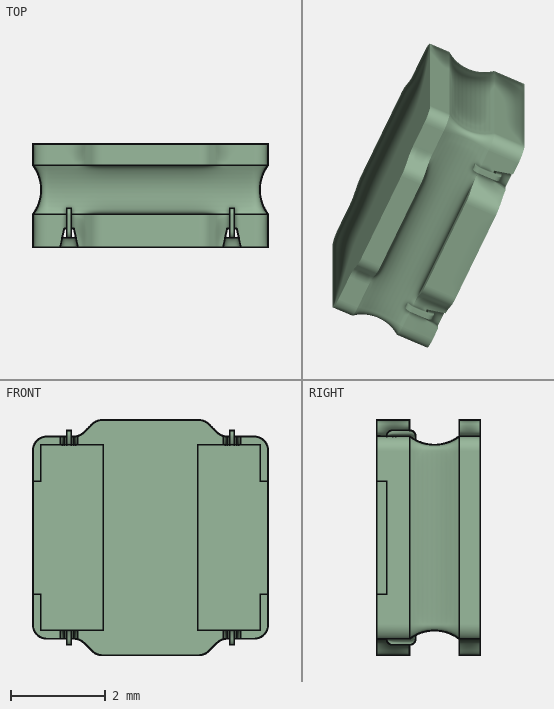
import cadquery as cq

width = 5.0
height = 5.0
depth = 2.2

shoulder_height = 4.3
corner_radius = 0.3
tab_top_width = 2.3
tab_radius = 0.3
front_flange_depth = 0.7
back_flange_depth = 0.45

winding_depth = depth - front_flange_depth - back_flange_depth
groove_depth = 0.175

terminal_inner_x = 1.005
terminal_outer_x = 2.33
terminal_height = 3.94
terminal_depth = 0.21
terminal_tab_height = 2.4

channel_x = 1.73
channel_mouth_width = 0.38
channel_floor_width = 0.2
channel_depth = 0.4

wire_width = 0.1
wire_thickness = 0.13

sides = (-1, 1)


def block(x_range, y_range, z_range):
    """Box between the given limits along each axis."""
    (x0, x1), (y0, y1), (z0, z1) = x_range, y_range, z_range
    return cq.Workplane("XY").box(x1 - x0, y1 - y0, z1 - z0, centered=False).translate((x0, y0, z0))


def centred(size):
    """Limits of a length centred on zero."""
    return (-size / 2, size / 2)


def flange_plate(start_y, thickness):
    """Flange plate extending along +Y from start_y."""
    slope_run = (height - shoulder_height) / 2
    tab_half = tab_top_width / 2
    root_half = tab_half + slope_run
    sketch_plane = cq.Workplane("XZ", origin=(0, start_y + thickness, 0))
    body = sketch_plane.rect(width, shoulder_height).extrude(thickness)
    body = body.edges("|Y").fillet(corner_radius)
    tab_outline = [
        (-root_half, shoulder_height / 2),
        (-tab_half, height / 2),
        (tab_half, height / 2),
        (root_half, shoulder_height / 2),
        (root_half, -shoulder_height / 2),
        (tab_half, -height / 2),
        (-tab_half, -height / 2),
        (-root_half, -shoulder_height / 2),
    ]
    tabs = sketch_plane.polyline(tab_outline).close().extrude(thickness)
    plate = body.union(tabs)
    tab_zone = cq.selectors.BoxSelector(
        (-root_half - corner_radius, start_y, -height),
        (root_half + corner_radius, start_y + thickness, height),
    )
    return plate.edges("|Y").edges(tab_zone).fillet(tab_radius)


def terminal(side):
    """Flat terminal with a tab reaching the side face."""
    pad = block((terminal_inner_x, terminal_outer_x), (0, terminal_depth), centred(terminal_height))
    tab = block((terminal_outer_x, width / 2), (0, terminal_depth), centred(terminal_tab_height))
    plate = pad.union(tab)
    return plate if side > 0 else plate.mirror("YZ")


def wire_channel(side):
    """Tapered channel running the full height of the front flange."""
    mouth = channel_mouth_width / 2
    floor = channel_floor_width / 2
    outline = [(-mouth, 0), (mouth, 0), (floor, channel_depth), (-floor, channel_depth)]
    channel = cq.Workplane("XY", origin=(side * channel_x, 0, -height / 2))
    return channel.polyline(outline).close().extrude(height)


def front_flange():
    """Flange with the recesses for the terminals and the wires."""
    plate = flange_plate(0, front_flange_depth)
    for side in sides:
        plate = plate.cut(terminal(side)).cut(wire_channel(side))
    return plate


def winding():
    """Rounded block with an arc-section groove running all the way around it."""
    start_y = front_flange_depth
    end_y = front_flange_depth + winding_depth
    middle_y = (start_y + end_y) / 2
    rim_z = shoulder_height / 2
    block_plane = cq.Workplane("XZ", origin=(0, end_y, 0))
    body = block_plane.rect(width, shoulder_height).extrude(winding_depth).edges("|Y").fillet(corner_radius)
    groove_section = (
        cq.Workplane("YZ")
        .moveTo(start_y, rim_z)
        .threePointArc((middle_y, rim_z - groove_depth), (end_y, rim_z))
        .close()
    )
    rim = body.faces(">Y").wires()
    return body.cut(groove_section.sweep(rim))


def wire(side, coil):
    """Wire along its channel, bent around both ends of the front flange to the winding."""
    outer_y = (terminal_depth, front_flange_depth + wire_thickness)
    inner_y = (terminal_depth + wire_thickness, front_flange_depth)
    x_range = (side * channel_x - wire_width / 2, side * channel_x + wire_width / 2)
    loop = block(x_range, outer_y, centred(shoulder_height + 2 * wire_thickness))
    loop = loop.edges("|X").fillet(wire_thickness)
    return loop.cut(block(x_range, inner_y, centred(shoulder_height))).cut(coil)


coil = winding()
bodies = [front_flange(), flange_plate(depth - back_flange_depth, back_flange_depth), coil]
for side in sides:
    bodies.append(terminal(side))
    bodies.append(wire(side, coil))

result = cq.Compound.makeCompound([body.val() for body in bodies])